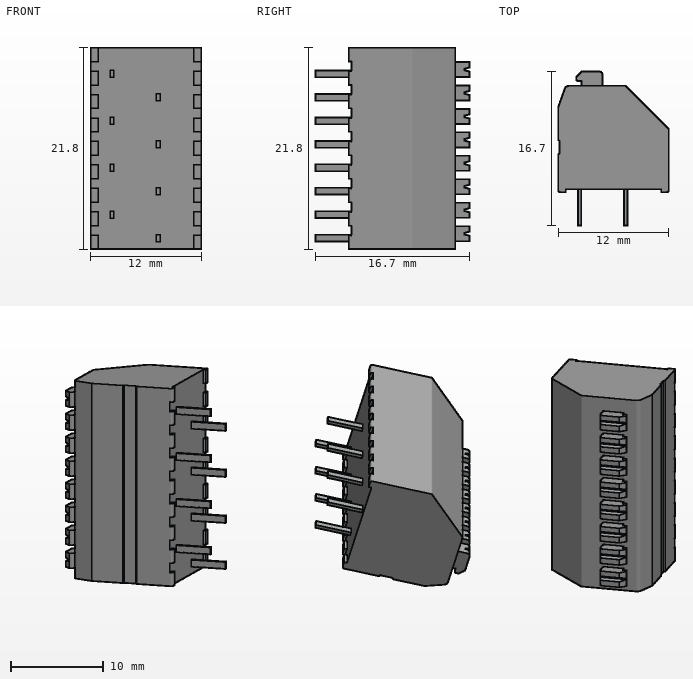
import cadquery as cq

length = 21.82
width = 12.0
housing_top = 11.55
pole_count = 8

foot_length = 1.5
foot_width = 0.85
foot_height = 0.3
foot_radius = 0.22
pitch = (length - foot_length) / pole_count

front_slope_start = 9.2
front_slope_run = 0.83
front_radius = 0.55
rear_slope_size = 4.7
rear_radius = 0.22
groove_low = 4.08
groove_high = 5.7
groove_depth = 0.15

pin_thickness = 0.4
pin_breadth = 0.76
pin_reach = 3.6
pin_row_x = 2.33
pin_row_spacing = 5.0
first_pin_z = 1.2

lever_front = 2.5
lever_back = 4.82
lever_top = 13.1
lever_breadth = 1.65
lever_radius = 0.4
first_lever_z = 1.68
hook_tip = 1.96
hook_low = 12.02
hook_high = 12.5
hook_radius = 0.25
notch_width = 0.44
notch_floor_width = 0.13
notch_depth = 0.57


def make_housing():
    """Constant-section housing with sloped shoulders and a shallow front groove."""
    outline = [
        (0, foot_height),
        (width, foot_height),
        (width, housing_top - rear_slope_size),
        (width - rear_slope_size, housing_top),
        (front_slope_run, housing_top),
        (0, front_slope_start),
        (0, groove_high),
        (groove_depth, groove_high - groove_depth),
        (groove_depth, groove_low + groove_depth),
        (0, groove_low),
    ]
    housing = cq.Workplane("XY").polyline(outline).close().extrude(length)
    housing = round_edge(housing, front_slope_run, housing_top, front_radius)
    housing = round_edge(housing, width - rear_slope_size, housing_top, rear_radius)
    return round_edge(housing, width, housing_top - rear_slope_size, rear_radius)


def round_edge(body, x, y, radius):
    """Fillet the Z-parallel edge of the body nearest to (x, y)."""
    nearest = cq.NearestToPointSelector((x, y, length / 2))
    return body.edges("|Z").edges(nearest).fillet(radius)


def make_foot(z):
    """Pair of feet, one under each long edge, starting at height z."""
    bar = cq.Workplane("XY", origin=(0, 0, z)).rect(width, 2 * foot_height).extrude(foot_length)
    bar = bar.edges("|Z and <Y").fillet(foot_radius)
    gap = cq.Workplane("XY", origin=(0, 0, z)).rect(width - 2 * foot_width, 2 * foot_height)
    return bar.cut(gap.extrude(foot_length)).translate((width / 2, foot_height, 0))


def make_pin(x, z):
    """Rectangular pin centred on (x, z), pointing down in Y from the base."""
    pin = cq.Workplane("XZ", origin=(x, foot_height, z)).rect(pin_thickness, pin_breadth)
    return pin.extrude(pin_reach + foot_height)


def make_lever(z):
    """Hooked lever centred on z, with a tapered notch across its top."""
    slope_rise = lever_top - hook_high
    lever = (
        cq.Workplane("XY", origin=(0, 0, z))
        .moveTo(lever_front, housing_top)
        .lineTo(lever_front, hook_low)
        .lineTo(hook_tip + hook_radius, hook_low)
        .radiusArc((hook_tip, hook_low + hook_radius), hook_radius)
        .lineTo(hook_tip, hook_high)
        .lineTo(hook_tip + slope_rise, lever_top)
        .lineTo(lever_back - lever_radius, lever_top)
        .radiusArc((lever_back, lever_top - lever_radius), lever_radius)
        .lineTo(lever_back, housing_top)
        .close()
        .extrude(lever_breadth / 2, both=True)
    )
    notch = (
        cq.Workplane("YZ", origin=(hook_tip, 0, z))
        .moveTo(lever_top, -notch_width / 2)
        .lineTo(lever_top, notch_width / 2)
        .lineTo(lever_top - notch_depth, notch_floor_width / 2)
        .lineTo(lever_top - notch_depth, -notch_floor_width / 2)
        .close()
        .extrude(lever_back - hook_tip)
    )
    return lever.cut(notch)


result = make_housing()
for index in range(pole_count + 1):
    result = result.union(make_foot(index * pitch))
for index in range(pole_count):
    row = (index + 1) % 2
    pin_x = pin_row_x + row * pin_row_spacing
    result = result.union(make_pin(pin_x, first_pin_z + index * pitch))
    result = result.union(make_lever(first_lever_z + index * pitch))